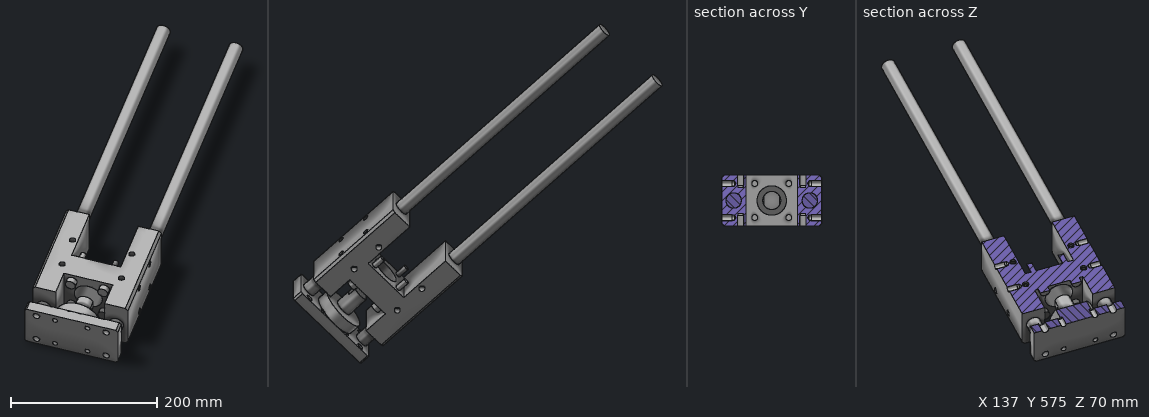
import cadquery as cq
import math

OVERALL_LENGTH = 575.0

HOUSING_WIDTH = 137.0
HOUSING_LENGTH = 150.0
HOUSING_HEIGHT = 70.0
HOUSING_CHAMFER = 3.75
LEG_WIDTH = 33.5
BRIDGE_SETBACK = 36.0
BRIDGE_LENGTH = 35.0
BRIDGE_BORE_DIAMETER = 40.0

HOLE_PITCH = 46.5

MOUNT_SETBACK = 52.0
TOP_HOLE_SPACING = 85.0
THREAD_DIAMETER = 8.0
THREAD_DEPTH = 14.5
CORE_DIAMETER = 7.0
CORE_DEPTH = 17.0
DRILL_POINT_ANGLE = 118

SCREW_DIAMETER = 8.0
SCREW_HEAD_DIAMETER = 14.5
SCREW_HEAD_HEIGHT = 8.0
SCREW_TIP_LENGTH = 16.0

PLATE_WIDTH = 134.0
PLATE_HEIGHT = 65.0
PLATE_THICKNESS = 15.0
PLATE_CHAMFER = 3.0
PLATE_TO_HOUSING = 25.5
OUTER_HOLE_SPACING = 100.0
OUTER_HOLE_DIAMETER = 9.0
INNER_HOLE_DIAMETER = CORE_DIAMETER
ROD_DIAMETER = 20.0
ROD_SPACING = 104.0
FLANGE_DIAMETER = PLATE_HEIGHT
FLANGE_THICKNESS = 16.0
STEM_DIAMETER = 25.0
STEM_LENGTH = 33.0
FLAT_SPACING = 22.0
FLAT_LENGTH = 12.0

HOUSING_START = PLATE_THICKNESS + PLATE_TO_HOUSING
BRIDGE_START = HOUSING_START + BRIDGE_SETBACK
BRIDGE_END = BRIDGE_START + BRIDGE_LENGTH
HOUSING_END = HOUSING_START + HOUSING_LENGTH
MOUNT_ROWS = [HOUSING_START + MOUNT_SETBACK + row * HOLE_PITCH for row in range(2)]
STEM_START = PLATE_THICKNESS + FLANGE_THICKNESS
STEM_END = STEM_START + STEM_LENGTH

SIDES = (-1, 1)
ROD_PLACES = [side * ROD_SPACING / 2 for side in SIDES]


def block(width, height, y_start, y_end, x=0):
    """Box running along Y, centred at the given X and on Z = 0."""
    box = cq.Workplane("XY").box(width, y_end - y_start, height)
    return box.translate((x, (y_start + y_end) / 2, 0))


def cylinder(diameter, length, start, direction):
    solid = cq.Solid.makeCylinder(diameter / 2, length, cq.Vector(*start), cq.Vector(*direction))
    return cq.Workplane(solid)


def cylinder_along_y(diameter, y_start, y_end, x=0, z=0):
    return cylinder(diameter, y_end - y_start, (x, y_start, z), (0, 1, 0))


def corners(x_spacing, z_spacing):
    """X, Z corner positions of a rectangle centred on the Y axis."""
    return [(a * x_spacing / 2, b * z_spacing / 2) for a in SIDES for b in SIDES]


def tapped_hole(start, direction):
    """Blind hole: a thread-size part over a narrower flat-bottomed core."""
    thread = cylinder(THREAD_DIAMETER, THREAD_DEPTH, start, direction)
    core = cylinder(CORE_DIAMETER, CORE_DEPTH, start, direction)
    return thread.union(core)


def drill_point(start, direction):
    """Cone that ends the core of a tapped hole."""
    axis = cq.Vector(*direction)
    core_end = cq.Vector(*start) + axis * CORE_DEPTH
    radius = CORE_DIAMETER / 2
    height = radius / math.tan(math.radians(DRILL_POINT_ANGLE / 2))
    return cq.Workplane(cq.Solid.makeCone(radius, 0, height, core_end, axis))


def cut_mounting_holes(body):
    for x, z in corners(TOP_HOLE_SPACING, HOUSING_HEIGHT):
        for y in MOUNT_ROWS:
            inward = (0, 0, -math.copysign(1, z))
            body = body.cut(tapped_hole((x, y, z), inward))

    for x, z in corners(HOUSING_WIDTH, HOLE_PITCH):
        for y in MOUNT_ROWS:
            inward = (-math.copysign(1, x), 0, 0)
            body = body.cut(tapped_hole((x, y, z), inward))
            body = body.cut(drill_point((x, y, z), inward))
    return body


def add_cap_screws(body):
    for x, z in corners(HOLE_PITCH, HOLE_PITCH):
        head = cylinder_along_y(SCREW_HEAD_DIAMETER, BRIDGE_START - SCREW_HEAD_HEIGHT, BRIDGE_START, x, z)
        shank = cylinder_along_y(SCREW_DIAMETER, BRIDGE_START, BRIDGE_END + SCREW_TIP_LENGTH, x, z)
        body = body.union(head).union(shank)
    return body


def make_housing():
    body = block(HOUSING_WIDTH, HOUSING_HEIGHT, HOUSING_START, HOUSING_END)
    body = body.edges("|Y").chamfer(HOUSING_CHAMFER)

    gap_width = HOUSING_WIDTH - 2 * LEG_WIDTH
    body = body.cut(block(gap_width, HOUSING_HEIGHT, HOUSING_START, BRIDGE_START))
    body = body.cut(block(gap_width, HOUSING_HEIGHT, BRIDGE_END, HOUSING_END))

    body = body.cut(cylinder_along_y(BRIDGE_BORE_DIAMETER, BRIDGE_START, BRIDGE_END))
    for x in ROD_PLACES:
        body = body.cut(cylinder_along_y(ROD_DIAMETER, HOUSING_START, HOUSING_END, x))

    body = cut_mounting_holes(body)
    return add_cap_screws(body)


def make_end_plate():
    plate = block(PLATE_WIDTH, PLATE_HEIGHT, 0, PLATE_THICKNESS)
    plate = plate.edges("|Y").chamfer(PLATE_CHAMFER)
    for x, z in corners(OUTER_HOLE_SPACING, HOLE_PITCH):
        plate = plate.cut(cylinder_along_y(OUTER_HOLE_DIAMETER, 0, PLATE_THICKNESS, x, z))
    for x, z in corners(HOLE_PITCH, HOLE_PITCH):
        plate = plate.cut(cylinder_along_y(INNER_HOLE_DIAMETER, 0, PLATE_THICKNESS, x, z))
    return plate


def make_coupling():
    """Flange and stem, with two wrench flats at the stem tip."""
    flange = cylinder_along_y(FLANGE_DIAMETER, PLATE_THICKNESS, STEM_START)
    stem = cylinder_along_y(STEM_DIAMETER, STEM_START, STEM_END)
    for side in SIDES:
        x = side * (FLAT_SPACING + STEM_DIAMETER) / 2
        stem = stem.cut(block(STEM_DIAMETER, STEM_DIAMETER, STEM_END - FLAT_LENGTH, STEM_END, x))
    return flange.union(stem)


def make_guide():
    body = make_end_plate().union(make_coupling())
    for x in ROD_PLACES:
        body = body.union(cylinder_along_y(ROD_DIAMETER, PLATE_THICKNESS, OVERALL_LENGTH, x))
    return body


housing = make_housing()
guide = make_guide()
result = cq.Compound.makeCompound([housing.solids().val(), guide.solids().val()])